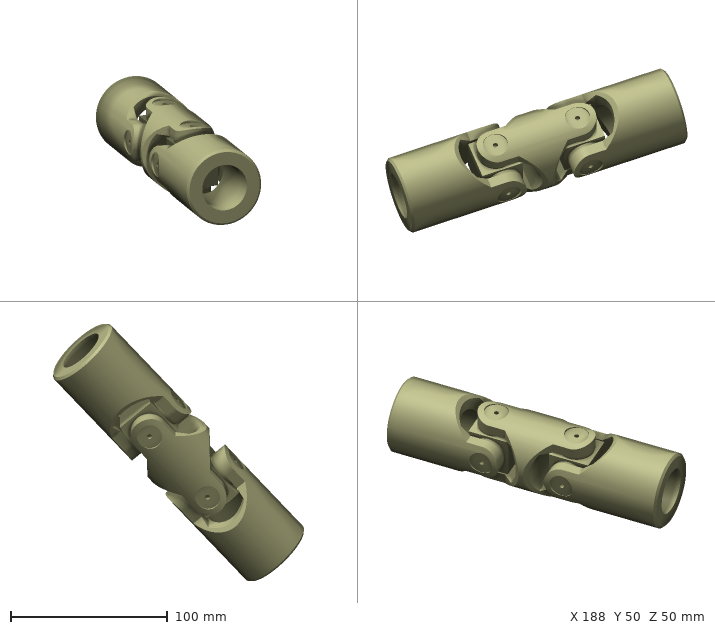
import cadquery as cq
import math


overall_length = 188.0
body_radius = 25.0
joint_offset = 28.0

bore_radius = 15.0
end_chamfer = 1.5

arm_radius = 12.0
shoulder_reach = 26.5
shoulder_angle = 40.5
cavity_radius = 23.5
arm_gap = 30.0

block_length = 27.5
block_width = 25.5
block_height = 26.5
collar_radius = 11.5
pin_radius = 8.0
pin_span = 47.0
center_hole_radius = 1.6
center_hole_depth = 3.0

end_reach = overall_length / 2 - joint_offset
shoulder_run = (body_radius - arm_radius) / math.tan(math.radians(shoulder_angle))
neck_reach = shoulder_reach - shoulder_run
body_diameter = 2 * body_radius


def fork_blank(back_reach):
    """Plan shape of a fork: tip toward +X, joint at the origin, arms stacked along Z."""
    return (
        cq.Workplane("XY")
        .workplane(offset=-body_radius)
        .moveTo(-back_reach, body_radius)
        .lineTo(-shoulder_reach, body_radius)
        .lineTo(-neck_reach, arm_radius)
        .lineTo(0, arm_radius)
        .threePointArc((arm_radius, 0), (0, -arm_radius))
        .lineTo(-neck_reach, -arm_radius)
        .lineTo(-shoulder_reach, -body_radius)
        .lineTo(-back_reach, -body_radius)
        .close()
        .extrude(body_diameter)
    )


def fork_clearance():
    """Cavity between the arms and the pin hole through them, joint at the origin."""
    cavity = (
        cq.Workplane("XZ")
        .circle(cavity_radius)
        .extrude(body_radius, both=True)
        .intersect(cq.Workplane("XY").box(body_diameter, body_diameter, arm_gap))
    )
    pin_hole = cq.Workplane("XY").circle(pin_radius).extrude(body_radius, both=True)
    return cavity.union(pin_hole)


def make_end_yoke():
    """Left end yoke with its arms along Y, moved to the left joint."""
    shank = (
        cq.Workplane("YZ")
        .workplane(offset=-end_reach)
        .circle(body_radius)
        .extrude(end_reach + arm_radius)
        .faces("<X")
        .chamfer(end_chamfer)
    )
    bore = (
        cq.Workplane("YZ")
        .workplane(offset=-end_reach)
        .circle(bore_radius)
        .extrude(end_reach)
    )
    yoke = shank.intersect(fork_blank(end_reach)).cut(fork_clearance()).cut(bore)
    return yoke.rotate((0, 0, 0), (1, 0, 0), 90).translate((-joint_offset, 0, 0))


def make_middle_yoke():
    """Middle yoke with a fork at each end, all arms along Z."""
    half_length = joint_offset + arm_radius
    yoke = cq.Workplane("YZ").circle(body_radius).extrude(half_length, both=True)
    for turn in (0, 180):
        blank = fork_blank(joint_offset + half_length).translate((joint_offset, 0, 0))
        clearance = fork_clearance().translate((joint_offset, 0, 0))
        yoke = yoke.intersect(blank.rotate((0, 0, 0), (0, 0, 1), turn))
        yoke = yoke.cut(clearance.rotate((0, 0, 0), (0, 0, 1), turn))
    return yoke


def make_cross(joint_x):
    """Cross piece: block with collars and pins along Y and Z, centre holes in the pin ends."""
    cross = cq.Workplane("XY").box(block_length, block_width, block_height)
    for plane in ("XY", "XZ"):
        collars = cq.Workplane(plane).circle(collar_radius).extrude(arm_gap / 2, both=True)
        pins = cq.Workplane(plane).circle(pin_radius).extrude(pin_span / 2, both=True)
        cross = cross.union(collars).union(pins)
    for pin_end in ("<Y", ">Y", "<Z", ">Z"):
        cross = (
            cross.faces(pin_end)
            .workplane(centerOption="CenterOfMass")
            .circle(center_hole_radius)
            .cutBlind(-center_hole_depth)
        )
    return cross.translate((joint_x, 0, 0))


left_yoke = make_end_yoke()
right_yoke = left_yoke.mirror("YZ")
middle_yoke = make_middle_yoke()
crosses = [make_cross(joint_x) for joint_x in (-joint_offset, joint_offset)]

result = cq.Compound.makeCompound([
    left_yoke.val(),
    right_yoke.val(),
    middle_yoke.val(),
    *[cross.val() for cross in crosses],
])